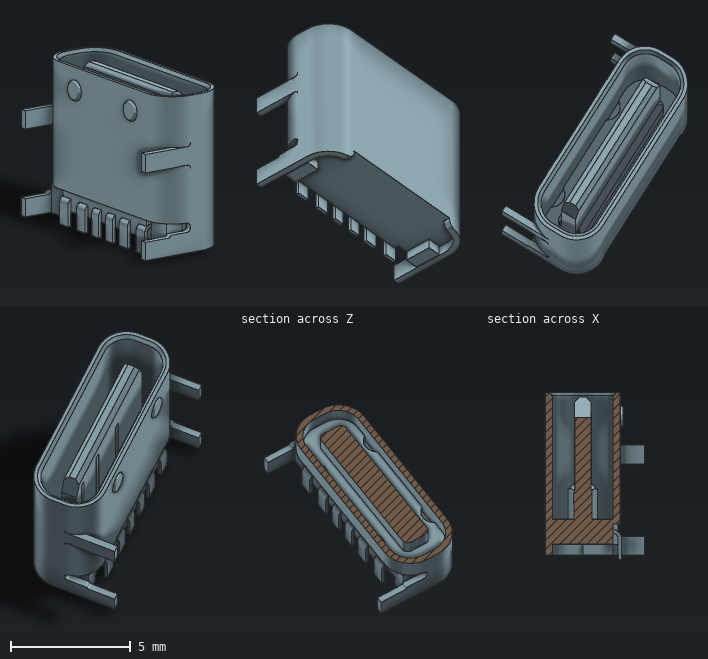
import cadquery as cq

shell_width = 8.94
shell_depth = 3.16
shell_height = 6.8
shell_radius = 1.3
wall = 0.3
mouth_chamfer = 0.14
half_width = shell_width / 2
half_depth = shell_depth / 2
flat_half = half_depth - shell_radius
cavity_width = shell_width - 2 * wall
cavity_depth = shell_depth - 2 * wall
cavity_radius = shell_radius - wall
front_edge_z = 1.3

notch_half = 3.0
notch_radius = 0.4

leg_reach = 1.0
leg_tip_y = -half_depth - leg_reach
leg_height = 0.8
upper_leg_z = 3.8
upper_leg_fillet = 0.15
slot_radius = 0.2
slot_centre_y = -flat_half - slot_radius
slot_centre_z = front_edge_z - slot_radius
neck_z = slot_centre_z - slot_radius
step_start_y = -1.25
step_length = 0.14

bump_radius = 0.45
bump_height = 0.12
bump_rounding = 0.12
bump_x = 2.0
bump_z = 5.8

housing_bottom = 0.45
floor_z = 1.5
housing_half = 4.13
housing_front = 1.265
plate_front = 1.475
foot_inner_x = 3.5
pocket_x = 2.19
pocket_half_width = 0.49
pocket_reach = 0.28
pocket_depth = 0.3

tongue_half = 3.355
tongue_top = 6.6
tongue_top_half = 3.02
tongue_half_thickness = 0.345
tongue_chamfer = 0.2
end_slope_height = 0.85
base_half_thickness = 0.62
base_flare = base_half_thickness - tongue_half_thickness
base_top = 3.0

pin_thickness = 0.15
pin_outer_radius = 0.365
pin_front = plate_front + pin_thickness
pin_bend_z = 0.7
pin_bottom = -0.2
pins = [(0.5, 0.5), (1.52, 0.6), (2.75, 0.6)]
pads = [(-2.75, 5.93), (-1.25, 5.93), (0.75, 5.4)]
pad_width = 0.25
pad_proud = 0.02
pad_depth = 0.1
overlap = 0.1


def box(x0, x1, y0, y1, z0, z1):
    """Box between two opposite corners."""
    return cq.Workplane("XY").box(x1 - x0, y1 - y0, z1 - z0, centered=False).translate((x0, y0, z0))


def rounded_block(width, depth, radius, z0, z1):
    """Upright block centred on the Z axis with rounded vertical edges."""
    block = cq.Workplane("XY").workplane(offset=z0).rect(width, depth).extrude(z1 - z0)
    return block.edges("|Z").fillet(radius)


def both_sides(body):
    """The body together with its mirror image across the YZ plane."""
    return body.union(body.mirror("YZ"))


def make_shell():
    shell = rounded_block(shell_width, shell_depth, shell_radius, 0, shell_height)
    cavity = rounded_block(cavity_width, cavity_depth, cavity_radius, 0, shell_height)
    mouth = rounded_block(
        cavity_width + 2 * mouth_chamfer,
        cavity_depth + 2 * mouth_chamfer,
        cavity_radius + mouth_chamfer,
        shell_height - mouth_chamfer,
        shell_height + wall,
    )
    shell = shell.cut(cavity).cut(mouth.faces("<Z").chamfer(mouth_chamfer))

    opening = box(-half_width, half_width, -half_depth, slot_centre_y, 0, front_edge_z)
    opening = opening.union(box(-half_width, half_width, -half_depth, -flat_half, 0, slot_centre_z))
    slot_end = (
        cq.Workplane("YZ")
        .center(slot_centre_y, slot_centre_z)
        .circle(slot_radius)
        .extrude(half_width, both=True)
    )
    shell = shell.cut(opening.union(slot_end))

    notch_outer = notch_half + notch_radius
    notch = (
        cq.Workplane("XZ")
        .moveTo(-notch_outer, 0)
        .radiusArc((-notch_half, notch_radius), -notch_radius)
        .lineTo(-notch_half, housing_bottom)
        .lineTo(notch_half, housing_bottom)
        .lineTo(notch_half, notch_radius)
        .radiusArc((notch_outer, 0), -notch_radius)
        .close()
        .extrude(-half_depth)
    )
    return shell.cut(notch)


def make_legs():
    """Flat side plates carrying the upper and lower leg."""
    upper_top = upper_leg_z + leg_height
    root_y = -flat_half - upper_leg_fillet
    upper = (
        cq.Workplane("YZ")
        .moveTo(0, upper_leg_z - upper_leg_fillet)
        .lineTo(-flat_half, upper_leg_z - upper_leg_fillet)
        .radiusArc((root_y, upper_leg_z), -upper_leg_fillet)
        .lineTo(leg_tip_y, upper_leg_z)
        .lineTo(leg_tip_y, upper_top)
        .lineTo(root_y, upper_top)
        .radiusArc((-flat_half, upper_top + upper_leg_fillet), -upper_leg_fillet)
        .lineTo(0, upper_top + upper_leg_fillet)
        .close()
        .extrude(wall)
    )
    step_middle = (step_start_y - step_length / 2, (neck_z + leg_height) / 2)
    lower = (
        cq.Workplane("YZ")
        .moveTo(0, 0)
        .lineTo(leg_tip_y, 0)
        .lineTo(leg_tip_y, leg_height)
        .lineTo(step_start_y - step_length, leg_height)
        .tangentArcPoint(step_middle, relative=False)
        .tangentArcPoint((step_start_y, neck_z), relative=False)
        .lineTo(slot_centre_y, neck_z)
        .radiusArc((-flat_half, slot_centre_z), -slot_radius)
        .lineTo(0, slot_centre_z)
        .close()
        .extrude(wall)
    )
    return both_sides(upper.union(lower).translate((-half_width, 0, 0)))


def make_bumps():
    bump = (
        cq.Workplane("XZ", origin=(bump_x, -half_depth + overlap, bump_z))
        .circle(bump_radius)
        .extrude(bump_height + overlap)
        .faces("<Y")
        .edges()
        .fillet(bump_rounding)
    )
    return both_sides(bump)


def make_housing():
    body = rounded_block(cavity_width, cavity_depth, cavity_radius, housing_bottom, floor_z)
    body = body.cut(box(-half_width, half_width, -half_depth, slot_centre_y, 0, front_edge_z))
    body = body.union(box(-housing_half, housing_half, -housing_front, 0, housing_bottom, front_edge_z))
    plate = box(-notch_half, notch_half, -plate_front, 0, housing_bottom, front_edge_z)
    foot = box(foot_inner_x, housing_half, -housing_front, 0, 0, front_edge_z)
    housing = body.union(plate).union(both_sides(foot))

    wall_y = cavity_depth / 2
    pocket = (
        cq.Workplane("XY", origin=(pocket_x, 0, floor_z - pocket_depth))
        .moveTo(-pocket_half_width, wall_y)
        .threePointArc((0, wall_y - pocket_reach), (pocket_half_width, wall_y))
        .close()
        .extrude(pocket_depth)
    )
    pockets = both_sides(pocket.union(pocket.mirror("XZ")))
    return housing.cut(pockets)


def make_tongue():
    slope_start = tongue_top - end_slope_height
    blade = (
        cq.Workplane("XZ")
        .moveTo(-tongue_half, floor_z)
        .lineTo(-tongue_half, slope_start)
        .lineTo(-tongue_top_half, tongue_top)
        .lineTo(tongue_top_half, tongue_top)
        .lineTo(tongue_half, slope_start)
        .lineTo(tongue_half, floor_z)
        .close()
        .extrude(tongue_half_thickness, both=True)
        .faces(">Z")
        .edges("|X")
        .chamfer(tongue_chamfer)
    )

    root_size = (2 * tongue_half, 2 * base_half_thickness)
    plan = rounded_block(*root_size, base_flare, floor_z, base_top)
    root = cq.Workplane("XY").workplane(offset=floor_z).rect(*root_size).extrude(base_top - floor_z)
    root = root.faces(">Z").chamfer(base_flare).intersect(plan)
    return blade.union(root)


def make_pin(x, width):
    """Contact tail that leaves the housing and bends down along its front."""
    bend_y = -pin_front + pin_outer_radius
    inner_radius = pin_outer_radius - pin_thickness
    return (
        cq.Workplane("YZ", origin=(x - width / 2, 0, 0))
        .moveTo(bend_y, pin_bend_z + pin_outer_radius)
        .radiusArc((-pin_front, pin_bend_z), -pin_outer_radius)
        .lineTo(-pin_front, pin_bottom)
        .lineTo(-plate_front, pin_bottom)
        .lineTo(-plate_front, pin_bend_z)
        .radiusArc((bend_y, pin_bend_z + inner_radius), inner_radius)
        .close()
        .extrude(width)
    )


def make_pad(x, top):
    """Contact tip lying in the front face of the tongue, slightly proud of it."""
    front = -tongue_half_thickness - pad_proud
    pad = box(x - pad_width / 2, x + pad_width / 2, front, front + pad_depth, floor_z, top)
    return pad.edges("|X and >Z and <Y").fillet(pad_depth / 2)


result = make_shell().union(make_housing()).union(make_legs())
result = result.union(make_tongue()).union(make_bumps())
for distance, width in pins:
    for side in (-1, 1):
        result = result.union(make_pin(side * distance, width))
for position, height in pads:
    result = result.union(make_pad(position, height))